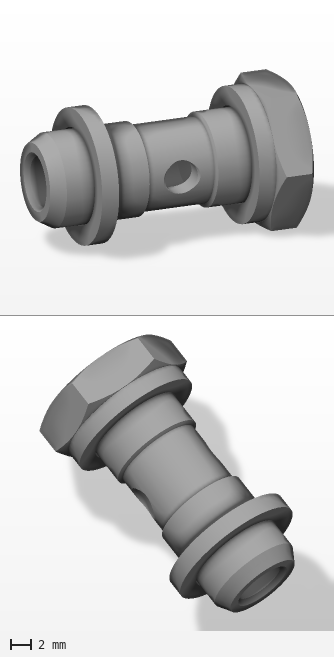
import cadquery as cq
import math


LENGTH = 27.0

HEAD_ACROSS_FLATS = 14.0
HEAD_THICKNESS = 4.0
HEAD_BEVEL_ANGLE = 30.0
HEAD_FACE_DIAMETER = HEAD_ACROSS_FLATS - 0.05

SHANK_DIAMETER = 9.6
NECK_DIAMETER = 8.75
NECK_START = 9.35
NECK_END = 16.69
NECK_HEAD_BEVEL = 0.25
NECK_TIP_BEVEL = 0.15
TIP_DIAMETER = 7.95
TIP_ANGLE = 30.0

BORE_DIAMETER = 5.0
BORE_MOUTH_DIAMETER = 6.0
BORE_FLOOR = 10.8
DRILL_POINT_ANGLE = 118.0
CROSS_HOLE_DIAMETER = 3.5
CROSS_HOLE_STATION = 13.05
CROSS_HOLE_MOUTH_DIAMETER = 3.92
CROSS_HOLE_FLARE_ANGLE = 45.0

WASHER_OUTER_DIAMETER = 13.85
WASHER_INNER_DIAMETER = 9.94
WASHER_THICKNESS = 1.8
WASHER_STATIONS = (HEAD_THICKNESS, 20.82)


def turned(profile):
    """Revolve (radius, station) points into a solid about the Y axis."""
    points = [(radius, -station) for radius, station in profile]
    return cq.Workplane("XY").polyline(points).close().revolve(360, (0, 0, 0), (0, 1, 0))


def hexagon_head():
    """Hexagonal prism with both sets of corners bevelled by a cone."""
    corner_diameter = HEAD_ACROSS_FLATS / math.cos(math.radians(30))
    face_radius = HEAD_FACE_DIAMETER / 2
    corner_radius = corner_diameter / 2
    bevel = (corner_radius - face_radius) * math.tan(math.radians(HEAD_BEVEL_ANGLE))
    prism = cq.Workplane("XZ").polygon(6, corner_diameter).extrude(HEAD_THICKNESS)
    envelope = turned([
        (0, 0),
        (face_radius, 0),
        (corner_radius, bevel),
        (corner_radius, HEAD_THICKNESS - bevel),
        (face_radius, HEAD_THICKNESS),
        (0, HEAD_THICKNESS),
    ])
    return prism.intersect(envelope)


def shank():
    """Shank with a bevelled relief neck and a tapered tip."""
    shank_radius = SHANK_DIAMETER / 2
    neck_radius = NECK_DIAMETER / 2
    tip_radius = TIP_DIAMETER / 2
    tip_length = (shank_radius - tip_radius) / math.tan(math.radians(TIP_ANGLE))
    return turned([
        (0, HEAD_THICKNESS),
        (shank_radius, HEAD_THICKNESS),
        (shank_radius, NECK_START),
        (neck_radius, NECK_START + NECK_HEAD_BEVEL),
        (neck_radius, NECK_END - NECK_TIP_BEVEL),
        (shank_radius, NECK_END),
        (shank_radius, LENGTH - tip_length),
        (tip_radius, LENGTH),
        (0, LENGTH),
    ])


def bore():
    """Blind drilled bore with a conical floor and a 45 degree countersink."""
    bore_radius = BORE_DIAMETER / 2
    mouth_radius = BORE_MOUTH_DIAMETER / 2
    point_length = bore_radius / math.tan(math.radians(DRILL_POINT_ANGLE / 2))
    countersink_depth = mouth_radius - bore_radius
    return turned([
        (0, BORE_FLOOR - point_length),
        (bore_radius, BORE_FLOOR),
        (bore_radius, LENGTH - countersink_depth),
        (mouth_radius, LENGTH),
        (0, LENGTH),
    ])


def cross_hole():
    """Hole along X through both neck walls, flared slightly where it breaks out."""
    hole_radius = CROSS_HOLE_DIAMETER / 2
    mouth_radius = CROSS_HOLE_MOUTH_DIAMETER / 2
    mouth_x = NECK_DIAMETER / 2
    flare_start = mouth_x - (mouth_radius - hole_radius) / math.tan(math.radians(CROSS_HOLE_FLARE_ANGLE))
    profile = [
        (-mouth_x, 0),
        (-mouth_x, mouth_radius),
        (-flare_start, hole_radius),
        (flare_start, hole_radius),
        (mouth_x, mouth_radius),
        (mouth_x, 0),
    ]
    drill = cq.Workplane("XY").polyline(profile).close().revolve(360, (0, 0, 0), (1, 0, 0))
    return drill.translate((0, -CROSS_HOLE_STATION, 0))


def banjo_screw():
    """Hollow hexagon screw."""
    return hexagon_head().union(shank()).cut(bore()).cut(cross_hole())


def sealing_washer(station):
    """Flat ring around the shank, with its head-side face at the station."""
    return (
        cq.Workplane("XZ", origin=(0, -station, 0))
        .circle(WASHER_OUTER_DIAMETER / 2)
        .circle(WASHER_INNER_DIAMETER / 2)
        .extrude(WASHER_THICKNESS)
    )


screw = banjo_screw()
washers = [sealing_washer(station).val() for station in WASHER_STATIONS]

result = cq.Compound.makeCompound([screw.val(), *washers])